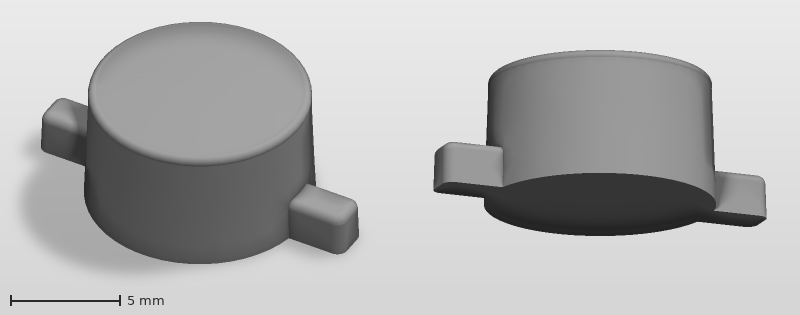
import cadquery as cq

base_radius = 5.33
shoulder_radius = 5.12
shoulder_height = 5.58
dome_radius = 4.77
dome_edge_height = 5.97
total_height = 6.2
shoulder_bulge = 0.11

lug_span = 16.0
lug_width = 2.0
lug_height = 2.02
lug_rounding = 0.5
lug_top_rounding = 0.38
lug_draft = 1.5


def make_body():
    """Revolve the half profile of the domed cap about Z."""
    shoulder_middle = (
        (shoulder_radius + dome_radius) / 2 + shoulder_bulge,
        (shoulder_height + dome_edge_height) / 2 + shoulder_bulge,
    )
    dome_rise = total_height - dome_edge_height
    sphere_radius = (dome_radius**2 + dome_rise**2) / (2 * dome_rise)
    middle_radius = dome_radius / 2
    middle_drop = sphere_radius - (sphere_radius**2 - middle_radius**2) ** 0.5
    return (
        cq.Workplane("XZ")
        .lineTo(base_radius, 0)
        .lineTo(shoulder_radius, shoulder_height)
        .threePointArc(shoulder_middle, (dome_radius, dome_edge_height))
        .threePointArc((middle_radius, total_height - middle_drop), (0, total_height))
        .close()
        .revolve(360, (0, 0, 0), (0, 1, 0))
    )


def make_lugs():
    """One drafted bar through the body forms both lugs."""
    return (
        cq.Workplane("XY")
        .rect(lug_span, lug_width)
        .extrude(lug_height, taper=lug_draft)
        .edges("not #Z")
        .fillet(lug_rounding)
        .faces(">Z")
        .edges()
        .fillet(lug_top_rounding)
    )


result = make_body().union(make_lugs())